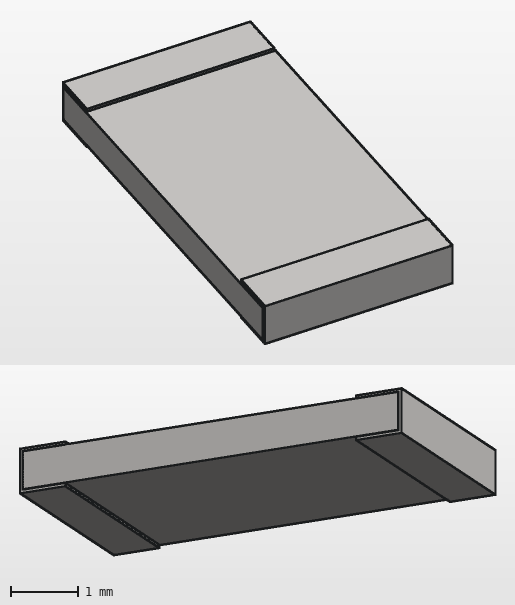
import cadquery as cq

total_length = 6.3
body_width = 3.2
total_height = 0.7

terminal_length = 0.75
terminal_thickness = 0.05
terminal_inset = 0.02

body_length = total_length - 2 * terminal_thickness
body_height = total_height - 2 * terminal_thickness
terminal_width = body_width - 2 * terminal_inset


def make_body():
    """Flat ceramic block centred on the origin."""
    return cq.Workplane("XY").box(body_length, body_width, body_height)


def make_terminal(side):
    """Block enclosing one body end; side is -1 or +1 along X."""
    center_x = side * (total_length - terminal_length) / 2
    return (
        cq.Workplane("XY")
        .box(terminal_length, terminal_width, total_height)
        .translate((center_x, 0, 0))
    )


result = make_body()
for side in (-1, 1):
    result = result.union(make_terminal(side))